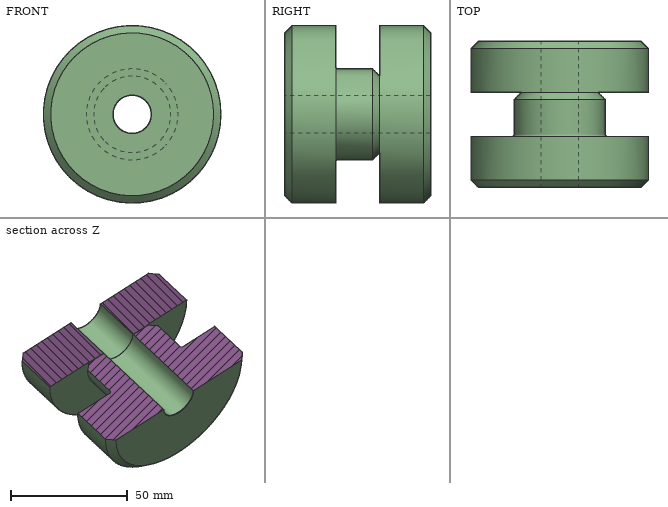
import cadquery as cq

disc_diameter = 76.2
total_length = 62.7
disc_thickness = 21.95
rim_chamfer = 3.2

hub_diameter = 39.2
hub_end_chamfer = 3.1
hub_root_fillet = 0.7
bore_diameter = 16.2
bore_mouth_chamfer = 0.15

front_y = -total_length / 2
back_y = total_length / 2
hub_start_y = front_y + disc_thickness
hub_end_y = back_y - disc_thickness

disc_radius = disc_diameter / 2
hub_radius = hub_diameter / 2
bore_radius = bore_diameter / 2


def revolve_about_y(profile):
    """Turn a closed half profile in the XY plane into a round body."""
    return profile.revolve(360, (0, 0, 0), (0, 1, 0))


def make_flanged_hub():
    """Front disc with an integral hub: filleted root, chamfered free end and bore mouth."""
    root_fillet_end_y = hub_start_y + hub_root_fillet
    profile = (
        cq.Workplane("XY")
        .moveTo(bore_radius, front_y + bore_mouth_chamfer)
        .lineTo(bore_radius + bore_mouth_chamfer, front_y)
        .lineTo(disc_radius - rim_chamfer, front_y)
        .lineTo(disc_radius, front_y + rim_chamfer)
        .lineTo(disc_radius, hub_start_y)
        .lineTo(hub_radius + hub_root_fillet, hub_start_y)
        .radiusArc((hub_radius, root_fillet_end_y), hub_root_fillet)
        .lineTo(hub_radius, hub_end_y - hub_end_chamfer)
        .lineTo(hub_radius - hub_end_chamfer, hub_end_y)
        .lineTo(bore_radius, hub_end_y)
        .close()
    )
    return revolve_about_y(profile)


def make_back_disc():
    """Plain disc resting on the hub end, chamfered on its outer rim."""
    profile = (
        cq.Workplane("XY")
        .moveTo(bore_radius, hub_end_y)
        .lineTo(disc_radius, hub_end_y)
        .lineTo(disc_radius, back_y - rim_chamfer)
        .lineTo(disc_radius - rim_chamfer, back_y)
        .lineTo(bore_radius, back_y)
        .close()
    )
    return revolve_about_y(profile)


flanged_hub = make_flanged_hub()
back_disc = make_back_disc()

result = cq.Compound.makeCompound([flanged_hub.val(), back_disc.val()])